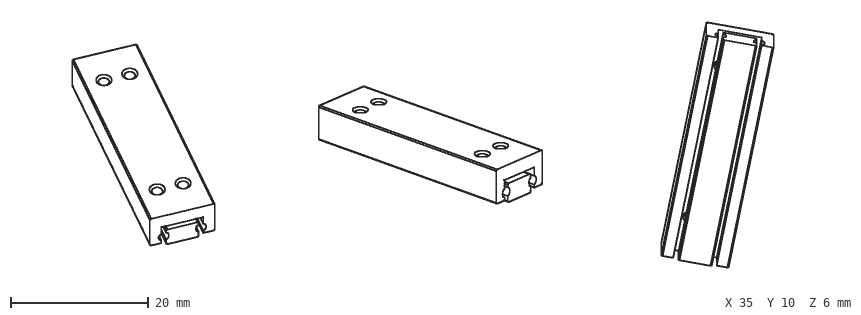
import cadquery as cq

length = 35.0
carriage_width = 10.0
total_height = 6.0
carriage_height = 5.45
roof_thickness = 2.2
channel_width = 6.45
rail_width = 5.0
rail_height = 3.0
edge_chamfer = 0.2

track_diameter = 1.58
track_height = 1.7

hole_diameter = 1.58
countersink_diameter = 2.28
countersink_angle = 90.0
hole_spacing_x = 24.0
hole_spacing_y = 4.0

track_offset = (channel_width + rail_width) / 4


def bar(width, height, bottom):
    """Full-length bar with its four long edges chamfered."""
    return (
        cq.Workplane("XY")
        .box(length, width, height, centered=(True, True, False))
        .translate((0, 0, bottom))
        .edges("|X")
        .chamfer(edge_chamfer)
    )


def ball_tracks():
    """Two cylinders along X that cut the facing track grooves."""
    return (
        cq.Workplane("YZ")
        .pushPoints([(side * track_offset, track_height) for side in (-1, 1)])
        .circle(track_diameter / 2)
        .extrude(length / 2, both=True)
    )


def make_carriage():
    """Inverted channel with side tracks and four countersunk holes."""
    bottom = total_height - carriage_height
    channel_height = carriage_height - roof_thickness
    channel = (
        cq.Workplane("XY")
        .box(length, channel_width, channel_height, centered=(True, True, False))
        .translate((0, 0, bottom))
    )
    body = bar(carriage_width, carriage_height, bottom).cut(channel).cut(ball_tracks())
    return (
        body.faces(">Z")
        .workplane(origin=(0, 0, total_height))
        .rarray(hole_spacing_x, hole_spacing_y, 2, 2)
        .cskHole(hole_diameter, countersink_diameter, countersink_angle)
    )


def make_rail():
    """Solid guide rail with a track groove along each side."""
    return bar(rail_width, rail_height, 0).cut(ball_tracks())


carriage = make_carriage()
rail = make_rail()

result = cq.Compound.makeCompound([carriage.val(), rail.val()])